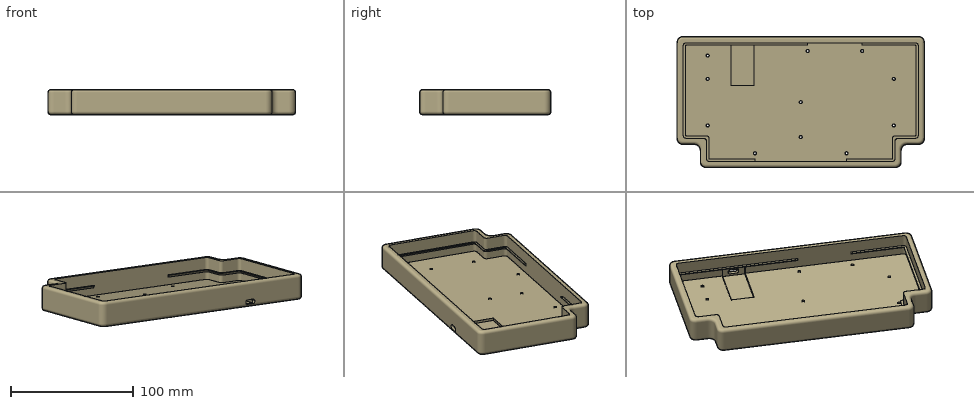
import cadquery as cq
import math

LENGTH = 202.5
WIDTH = 107.3
HEIGHT = 20.7

GRID = 19.0

WALL = 5.0
FLOOR = 2.5
CORNER_RADIUS = 5.0
NOTCH_RADIUS = 4.9
RIM_RADIUS = 2.5
CAVITY_CORNER_RADIUS = 2.5

LEDGE_WIDTH = 2.0
LEDGE_CORNER_RADIUS = CAVITY_CORNER_RADIUS - LEDGE_WIDTH
LEDGE_NOTCH_RADIUS = 2.0
LEDGE_DROP = 10.0
LEDGE_TOP = HEIGHT - LEDGE_DROP
LEDGE_BOTTOM = LEDGE_TOP - LEDGE_WIDTH
BACK_GAP_START = 5.7
BACK_GAP_END = 50.2
FRONT_GAP_HALF = 37.5

POCKET_DEPTH = 2.0
POCKET_LEFT = -3 * GRID
POCKET_FRONT = 13.8
POCKET_WALL_RECESS = 2.0
POCKET_BOTTOM = FLOOR - POCKET_DEPTH
PORT_LENGTH = 9.0
PORT_HEIGHT = 3.6
PORT_CENTRE_Z = 4.0

ARC_MIDDLE_SHARE = 1 - math.sqrt(0.5)

HOLE_DIAMETER = 2.2
EDGE_HOLE_Y = 2.2 * GRID
HOLE_POSITIONS = [
    (-4 * GRID, 2 * GRID),
    (-4 * GRID, GRID),
    (-4 * GRID, -GRID),
    (4 * GRID, GRID),
    (4 * GRID, -GRID),
    (0, 0),
    (0, -1.5 * GRID),
    (BACK_GAP_START, EDGE_HOLE_Y),
    (BACK_GAP_END, EDGE_HOLE_Y),
    (-FRONT_GAP_HALF, -EDGE_HOLE_Y),
    (FRONT_GAP_HALF, -EDGE_HOLE_Y),
]

CAVITY_BACK = WIDTH / 2 - WALL
CAVITY_FRONT = -CAVITY_BACK


def notched_outline(inset, corner_radius, notch_radius):
    """Rounded outline with both front corners notched, drawn in by inset from the outer side."""
    x_outer = LENGTH / 2 - inset
    x_inner = x_outer - GRID
    y_back = WIDTH / 2 - inset
    y_notch = GRID - y_back
    right_half = [
        (x_inner, -y_back, corner_radius),
        (x_inner, y_notch, notch_radius),
        (x_outer, y_notch, corner_radius),
        (x_outer, y_back, corner_radius),
    ]
    left_half = [(-x, y, radius) for x, y, radius in reversed(right_half)]
    corners = right_half + left_half

    edges = []
    arc_ends = []
    for index, (x, y, radius) in enumerate(corners):
        corner = cq.Vector(x, y)
        before = cq.Vector(*corners[index - 1][:2])
        after = cq.Vector(*corners[(index + 1) % len(corners)][:2])
        inward = (before - corner).normalized()
        outward = (after - corner).normalized()
        start = corner + inward * radius
        middle = corner + (inward + outward) * (radius * ARC_MIDDLE_SHARE)
        end = corner + outward * radius
        edges.append(cq.Edge.makeThreePointArc(start, middle, end))
        arc_ends.append((start, end))
    for index, (start, _) in enumerate(arc_ends):
        edges.append(cq.Edge.makeLine(arc_ends[index - 1][1], start))
    return cq.Wire.assembleEdges(edges)


def notched_prism(inset, corner_radius, notch_radius, bottom, top):
    """Upright block on the notched outline."""
    outline = notched_outline(inset, corner_radius, notch_radius)
    block = cq.Solid.extrudeLinear(outline, [], cq.Vector(0, 0, top - bottom))
    return cq.Workplane(block.translate(cq.Vector(0, 0, bottom)))


def box_between(x_min, x_max, y_min, y_max, z_min, z_max):
    """Box given by its limits along each axis."""
    size = (x_max - x_min, y_max - y_min, z_max - z_min)
    return cq.Workplane("XY").box(*size, centered=False).translate((x_min, y_min, z_min))


def make_shell():
    """Open tray with rounded outer edges."""
    body = notched_prism(0, CORNER_RADIUS, NOTCH_RADIUS, 0, HEIGHT)
    body = body.faces("<Z or >Z").edges().fillet(RIM_RADIUS)
    return body.cut(notched_prism(WALL, CAVITY_CORNER_RADIUS, CAVITY_CORNER_RADIUS, FLOOR, HEIGHT))


def make_ledge():
    """Triangular ledge along the cavity wall, interrupted at the back and the front."""
    ring = notched_prism(WALL, CAVITY_CORNER_RADIUS, CAVITY_CORNER_RADIUS, LEDGE_BOTTOM, LEDGE_TOP)
    wide_end = notched_outline(WALL, CAVITY_CORNER_RADIUS, CAVITY_CORNER_RADIUS)
    narrow_end = notched_outline(WALL + LEDGE_WIDTH, LEDGE_CORNER_RADIUS, LEDGE_NOTCH_RADIUS)
    ends = [
        wide_end.translate(cq.Vector(0, 0, LEDGE_BOTTOM)),
        narrow_end.translate(cq.Vector(0, 0, LEDGE_TOP)),
    ]
    opening = cq.Workplane(cq.Solid.makeLoft(ends, True))
    back_gap = box_between(
        BACK_GAP_START,
        BACK_GAP_END,
        CAVITY_BACK - LEDGE_WIDTH,
        CAVITY_BACK,
        LEDGE_BOTTOM,
        LEDGE_TOP,
    )
    front_gap = box_between(
        -FRONT_GAP_HALF,
        FRONT_GAP_HALF,
        CAVITY_FRONT,
        CAVITY_FRONT + LEDGE_WIDTH,
        LEDGE_BOTTOM,
        LEDGE_TOP,
    )
    return ring.cut(opening).cut(back_gap).cut(front_gap)


def make_connector_cut():
    """Pocket for the connector, with a rounded port running out through the back wall."""
    pocket_back = CAVITY_BACK + POCKET_WALL_RECESS
    pocket = box_between(
        POCKET_LEFT,
        POCKET_LEFT + GRID,
        POCKET_FRONT,
        pocket_back,
        POCKET_BOTTOM,
        LEDGE_BOTTOM,
    )
    port = (
        cq.Workplane("XZ", origin=(POCKET_LEFT + GRID / 2, WIDTH / 2, PORT_CENTRE_Z))
        .slot2D(PORT_LENGTH, PORT_HEIGHT)
        .extrude(WALL)
    )
    return pocket.union(port)


def make_holes():
    """Screw holes through the floor."""
    return cq.Workplane("XY").pushPoints(HOLE_POSITIONS).circle(HOLE_DIAMETER / 2).extrude(FLOOR)


result = make_shell().union(make_ledge()).cut(make_connector_cut()).cut(make_holes())